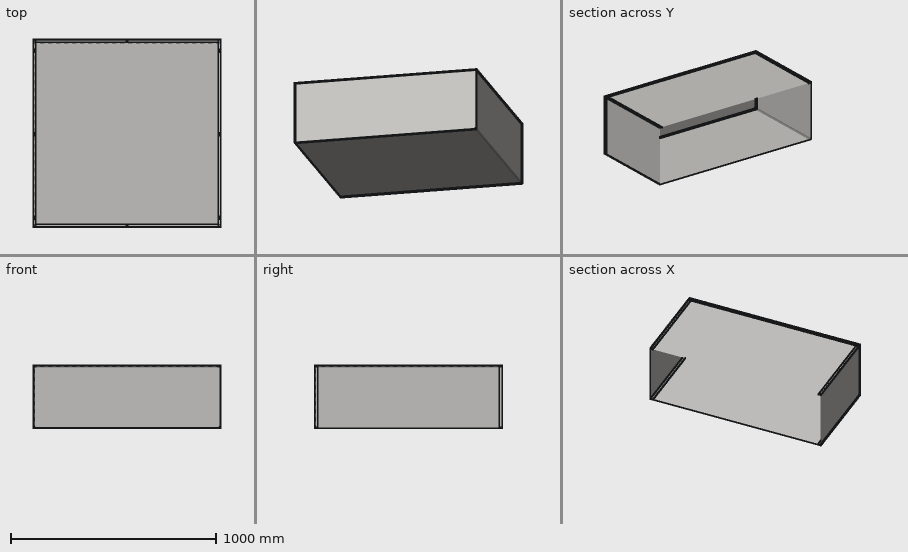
import cadquery as cq

WIDTH = 914.4
BOX_HEIGHT = 304.8
TOTAL_HEIGHT = 307.21
SHEET = TOTAL_HEIGHT - BOX_HEIGHT

BEND_INSIDE = SHEET / 2
BEND_OUTSIDE = BEND_INSIDE + SHEET
RIM_FLANGE = 14.0
END_FLANGE = 15.5

HOLE_EDGE_DISTANCE = 6.8
SCREW_HOLE = 6.35
KEYHOLE_HEAD = 11.1
KEYHOLE_TRAVEL = 6.5
KEYHOLE_PITCH = 406.4

BOTTOM_Z = -TOTAL_HEIGHT / 2
RIM_Z = BOTTOM_Z + BOX_HEIGHT
HALF = WIDTH / 2


def plate(x_range, y_range, z_range):
    """Box between the given limits."""
    (x0, x1), (y0, y1), (z0, z1) = x_range, y_range, z_range
    return cq.Workplane("XY", origin=(x0, y0, z0)).box(x1 - x0, y1 - y0, z1 - z0, centered=False)


def make_wrapper():
    """Floor and both side walls bent from one sheet, with inward flanges along the rim."""
    outer = (
        plate((-HALF, HALF), (-HALF, HALF), (BOTTOM_Z, RIM_Z))
        .edges("|Y").fillet(BEND_OUTSIDE)
    )
    inner = (
        plate((-HALF + SHEET, HALF - SHEET), (-HALF, HALF), (BOTTOM_Z + SHEET, RIM_Z - SHEET))
        .edges("|Y").fillet(BEND_INSIDE)
    )
    rim_opening = HALF - RIM_FLANGE
    opening = plate((-rim_opening, rim_opening), (-HALF, HALF), (RIM_Z - BEND_OUTSIDE, RIM_Z))
    return outer.cut(inner).cut(opening)


def bent_flange(length, width):
    """Quarter bend and flange of an end panel.

    The panel lies in the XZ plane with its outer face at Y = 0. The bend starts at Z = 0, rises
    to Z = BEND_OUTSIDE and the flange runs back to Y = width. It is centred along X.
    """
    return (
        cq.Workplane("YZ")
        .moveTo(0, 0)
        .radiusArc((BEND_OUTSIDE, BEND_OUTSIDE), BEND_OUTSIDE)
        .lineTo(width, BEND_OUTSIDE)
        .lineTo(width, BEND_INSIDE)
        .lineTo(BEND_OUTSIDE, BEND_INSIDE)
        .radiusArc((SHEET, 0), -BEND_INSIDE)
        .close()
        .extrude(length / 2, both=True)
    )


def make_front_panel():
    """End panel with flanges on all four sides, fitted between the walls of the wrapper."""
    flat_half_x = HALF - SHEET - BEND_OUTSIDE
    flat_bottom = BOTTOM_Z + SHEET + BEND_OUTSIDE
    flat_top = RIM_Z - BEND_OUTSIDE
    flat_middle = (flat_bottom + flat_top) / 2
    front_y = -HALF

    panel = plate((-flat_half_x, flat_half_x), (front_y, front_y + SHEET), (flat_bottom, flat_top))
    rim = bent_flange(2 * (HALF - RIM_FLANGE), RIM_FLANGE).translate((0, front_y, flat_top))
    floor = (
        bent_flange(2 * flat_half_x, END_FLANGE)
        .rotate((0, 0, 0), (0, 1, 0), 180)
        .translate((0, front_y, flat_bottom))
    )
    panel = panel.union(rim).union(floor)
    for side in (-1, 1):
        wall = (
            bent_flange(flat_top - flat_bottom, END_FLANGE)
            .rotate((0, 0, 0), (0, 1, 0), side * 90)
            .translate((side * flat_half_x, front_y, flat_middle))
        )
        panel = panel.union(wall)
    return panel


def make_cover():
    """Flat cover with keyholes along the side walls and a round hole at each end panel."""
    cover = plate((-HALF, HALF), (-HALF, HALF), (RIM_Z, RIM_Z + SHEET))
    hole_offset = HALF - HOLE_EDGE_DISTANCE
    seats = [(side * hole_offset, row * KEYHOLE_PITCH) for side in (-1, 1) for row in (-1, 0, 1)]
    heads = [(x, y - KEYHOLE_TRAVEL) for x, y in seats]
    necks = [(x, y - KEYHOLE_TRAVEL / 2) for x, y in seats]
    end_holes = [(0, -hole_offset), (0, hole_offset)]

    drill = cq.Workplane("XY", origin=(0, 0, RIM_Z))
    cover = cover.cut(drill.pushPoints(seats + end_holes).circle(SCREW_HOLE / 2).extrude(SHEET))
    cover = cover.cut(drill.pushPoints(necks).rect(SCREW_HOLE, KEYHOLE_TRAVEL).extrude(SHEET))
    return cover.cut(drill.pushPoints(heads).circle(KEYHOLE_HEAD / 2).extrude(SHEET))


wrapper = make_wrapper()
front_panel = make_front_panel()
back_panel = front_panel.mirror("XZ")
cover = make_cover()

result = cq.Compound.makeCompound([wrapper.val(), front_panel.val(), back_panel.val(), cover.val()])